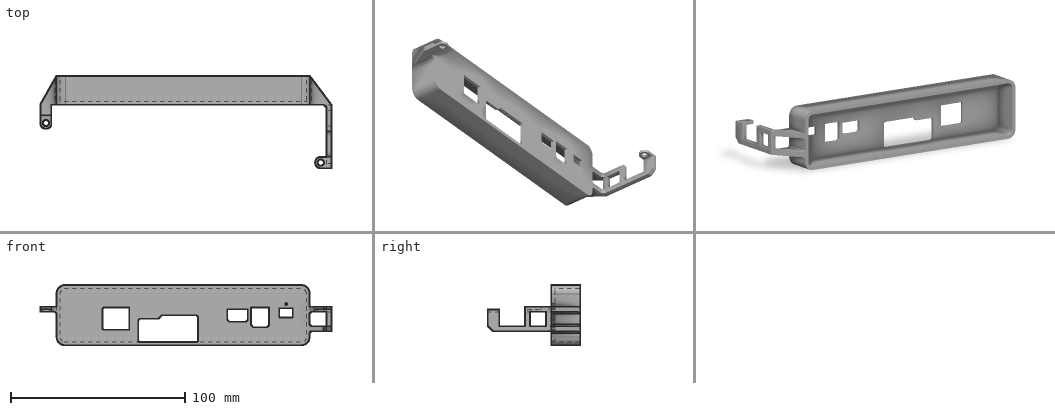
import cadquery as cq

COVER_LENGTH = 145.3
COVER_HEIGHT = 34.7
COVER_DEPTH = 16.7
CORNER_RADIUS = 5.0
WALL = 2.0
COVER_END = COVER_LENGTH / 2

LEFT_REACH = 9.2
RIGHT_REACH = 12.5
LEFT_X = -COVER_END - LEFT_REACH
RIGHT_X = COVER_END + RIGHT_REACH
BAR = 3.0
ARM_TOP = 4.8
ARM_BOTTOM = ARM_TOP - BAR
ROOT_CHAMFER = 1.0

LUG_RADIUS = 3.3
LUG_HOLE = 3.5
LUG_THICKNESS = BAR / 2
LUG_TOP = ARM_BOTTOM + LUG_THICKNESS

LEFT_WIDTH = 6.3
LEFT_STEP_Y = -6.0
LEFT_SLOPE_Y = 0.5
LEFT_HOLE_X = LEFT_X + LEFT_WIDTH / 2
LEFT_HOLE_Y = -10.4

TOTAL_DEPTH = 53.1
RIGHT_END_Y = COVER_DEPTH - TOTAL_DEPTH
FRAME_BOTTOM = -9.4
FRAME_LENGTH = 15.0
FRAME_CHAMFER = 1.5
FRAME_INNER_X = RIGHT_X - BAR
POST_LENGTH = 2 * LUG_RADIUS
RIGHT_HOLE_INSET = 6.2
RIGHT_HOLE_X = RIGHT_X - RIGHT_HOLE_INSET
RIGHT_HOLE_Y = RIGHT_END_Y + LUG_RADIUS

RECTANGULAR_OPENINGS = [
    (-46.1, -30.9, -8.4, 4.3, 0.5, "<X"),
    (25.4, 37.0, -3.7, 3.3, 1.0, "<Z"),
    (39.0, 49.3, -6.8, 4.3, 1.2, "<Z"),
    (55.3, 62.8, -1.3, 3.8, 0, ""),
]

STEPPED_LEFT = -25.7
STEPPED_RIGHT = 8.5
STEPPED_BOTTOM = WALL - COVER_HEIGHT / 2
STEPPED_LOW_TOP = -2.2
STEPPED_RISE = 2.0
STEPPED_SLOPE_X = -14.2
STEPPED_CORNER = 0.8
STEPPED_FLOOR_CORNER = 0.7

PINHOLE = 1.0
PINHOLE_X = 59.1
PINHOLE_Z = 6.3


def box(x0, x1, y0, y1, z0, z1):
    """Block between two opposite corners."""
    return cq.Workplane("XY").box(x1 - x0, y1 - y0, z1 - z0, centered=False).translate((x0, y0, z0))


def plate(points, z0, z1):
    """Flat plate with an XY outline, between two heights."""
    return cq.Workplane("XY").workplane(offset=z0).polyline(points).close().extrude(z1 - z0)


def rod(x, y, diameter, z0, z1):
    """Upright cylinder between two heights."""
    return cq.Workplane("XY").workplane(offset=z0).center(x, y).circle(diameter / 2).extrude(z1 - z0)


def cover():
    outer = box(-COVER_END, COVER_END, 0, COVER_DEPTH, -COVER_HEIGHT / 2, COVER_HEIGHT / 2)
    return outer.edges("|Y").fillet(CORNER_RADIUS).faces(">Y").shell(-WALL)


def face_openings():
    left_top = STEPPED_LOW_TOP
    right_top = STEPPED_LOW_TOP + STEPPED_RISE
    cutters = (
        cq.Workplane("XZ")
        .moveTo(STEPPED_LEFT, STEPPED_BOTTOM + STEPPED_FLOOR_CORNER)
        .lineTo(STEPPED_LEFT + STEPPED_FLOOR_CORNER, STEPPED_BOTTOM)
        .lineTo(STEPPED_RIGHT - STEPPED_FLOOR_CORNER, STEPPED_BOTTOM)
        .lineTo(STEPPED_RIGHT, STEPPED_BOTTOM + STEPPED_FLOOR_CORNER)
        .lineTo(STEPPED_RIGHT, right_top - STEPPED_CORNER)
        .lineTo(STEPPED_RIGHT - STEPPED_CORNER, right_top)
        .lineTo(STEPPED_SLOPE_X + STEPPED_RISE, right_top)
        .lineTo(STEPPED_SLOPE_X, left_top)
        .lineTo(STEPPED_LEFT + STEPPED_CORNER, left_top)
        .lineTo(STEPPED_LEFT, left_top - STEPPED_CORNER)
        .close()
        .extrude(-WALL)
    )
    for left, right, bottom, top, corner, side in RECTANGULAR_OPENINGS:
        opening = box(left, right, 0, WALL, bottom, top)
        if corner:
            opening = opening.faces(side).edges("|Y").chamfer(corner)
        cutters = cutters.union(opening)
    pinhole = cq.Workplane("XZ").center(PINHOLE_X, PINHOLE_Z).circle(PINHOLE / 2).extrude(-WALL)
    return cutters.union(pinhole)


def root_strip(side, z, direction, arm_outline):
    """45-degree strip in the corner of a cover end and an arm surface at height z, kept within the arm."""
    end_x = side * COVER_END
    corner = [(end_x, z), (end_x + side * ROOT_CHAMFER, z), (end_x, z + direction * ROOT_CHAMFER)]
    strip = cq.Workplane("XZ").polyline(corner).close().extrude(-COVER_DEPTH)
    return strip.intersect(plate(arm_outline, z - ROOT_CHAMFER, z + ROOT_CHAMFER))


def left_arm():
    inner_x = LEFT_X + LEFT_WIDTH
    outline = [
        (-COVER_END, COVER_DEPTH),
        (LEFT_X, LEFT_SLOPE_Y),
        (LEFT_X, LEFT_STEP_Y),
        (inner_x, LEFT_STEP_Y),
        (inner_x, 0),
        (-COVER_END, 0),
    ]
    lug = box(LEFT_X, inner_x, LEFT_HOLE_Y, LEFT_STEP_Y, ARM_BOTTOM, LUG_TOP)
    tip = rod(LEFT_HOLE_X, LEFT_HOLE_Y, 2 * LUG_RADIUS, ARM_BOTTOM, LUG_TOP).intersect(
        box(LEFT_X, inner_x, LEFT_HOLE_Y - LUG_RADIUS, LEFT_HOLE_Y, ARM_BOTTOM, LUG_TOP)
    )
    hole = rod(LEFT_HOLE_X, LEFT_HOLE_Y, LUG_HOLE, ARM_BOTTOM, LUG_TOP)
    arm = plate(outline, ARM_BOTTOM, ARM_TOP).union(lug).union(tip).cut(hole)
    return arm.union(root_strip(-1, ARM_BOTTOM, -1, outline))


def right_arm():
    bar_top = FRAME_BOTTOM + BAR
    post_y = RIGHT_END_Y + POST_LENGTH

    frame = box(FRAME_INNER_X, RIGHT_X, -FRAME_LENGTH, 0, FRAME_BOTTOM, ARM_TOP)
    frame = frame.cut(box(FRAME_INNER_X, RIGHT_X, BAR - FRAME_LENGTH, -BAR, bar_top, ARM_BOTTOM))
    bar = box(FRAME_INNER_X, RIGHT_X, RIGHT_END_Y, -FRAME_LENGTH, FRAME_BOTTOM, bar_top)
    post = box(FRAME_INNER_X, RIGHT_X, RIGHT_END_Y, post_y, FRAME_BOTTOM, LUG_TOP)
    arm = frame.union(bar.union(post).faces("<Y").edges("<Z").chamfer(BAR))

    outline = [
        (COVER_END, COVER_DEPTH),
        (RIGHT_X, 0),
        (RIGHT_X, -FRAME_CHAMFER),
        (FRAME_INNER_X, -FRAME_CHAMFER),
        (FRAME_INNER_X - FRAME_CHAMFER, 0),
        (COVER_END, 0),
    ]
    for bottom, top in ((ARM_BOTTOM, ARM_TOP), (FRAME_BOTTOM, bar_top)):
        arm = arm.union(plate(outline, bottom, top))
    for height, direction in ((ARM_BOTTOM, -1), (bar_top, 1), (FRAME_BOTTOM, -1)):
        arm = arm.union(root_strip(1, height, direction, outline))

    lug = box(RIGHT_HOLE_X, RIGHT_X, RIGHT_END_Y, post_y, ARM_BOTTOM, LUG_TOP)
    lug = lug.union(rod(RIGHT_HOLE_X, RIGHT_HOLE_Y, 2 * LUG_RADIUS, ARM_BOTTOM, LUG_TOP))
    return arm.union(lug).cut(rod(RIGHT_HOLE_X, RIGHT_HOLE_Y, LUG_HOLE, ARM_BOTTOM, LUG_TOP))


result = cover().cut(face_openings()).union(left_arm()).union(right_arm())